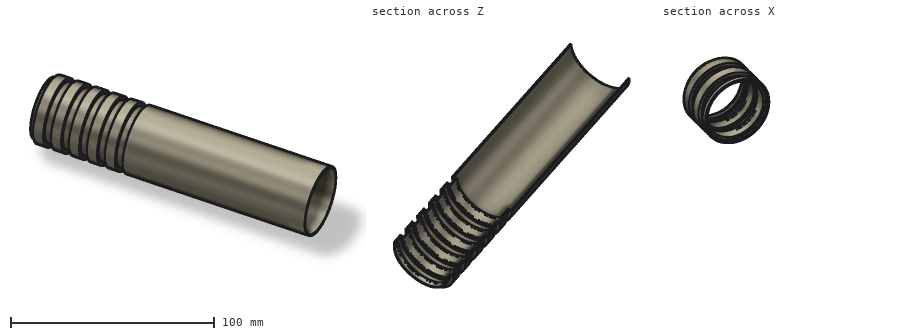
import cadquery as cq

total_length = 150.0
outer_diameter = 36.0
main_bore_diameter = 34.5

ridge_count = 5
ridge_pitch = 9.8
ridge_width = 5.5
lip_length = 2.4
groove_diameter = 32.2
neck_bore_diameter = 31.0
cavity_diameter = 33.8
cavity_front_wall = 0.8
cavity_back_wall = 1.2
cavity_width = ridge_width - cavity_front_wall - cavity_back_wall

start_x = -total_length / 2
first_ridge_x = start_x + lip_length
main_tube_x = first_ridge_x + ridge_count * ridge_pitch
main_bore_x = main_tube_x + cavity_front_wall


def cylinder(x, length, diameter):
    """Solid cylinder along X that starts at x."""
    return cq.Workplane("YZ", origin=(x, 0, 0)).circle(diameter / 2).extrude(length)


outer_form = cylinder(start_x, total_length, groove_diameter)
outer_form = outer_form.union(cylinder(main_tube_x, total_length / 2 - main_tube_x, outer_diameter))

inner_space = cylinder(start_x, total_length, neck_bore_diameter)
inner_space = inner_space.union(cylinder(main_bore_x, total_length / 2 - main_bore_x, main_bore_diameter))

for index in range(ridge_count):
    ridge_x = first_ridge_x + index * ridge_pitch
    outer_form = outer_form.union(cylinder(ridge_x, ridge_width, outer_diameter))
    cavity = cylinder(ridge_x + cavity_front_wall, cavity_width, cavity_diameter)
    inner_space = inner_space.union(cavity)

result = outer_form.cut(inner_space)